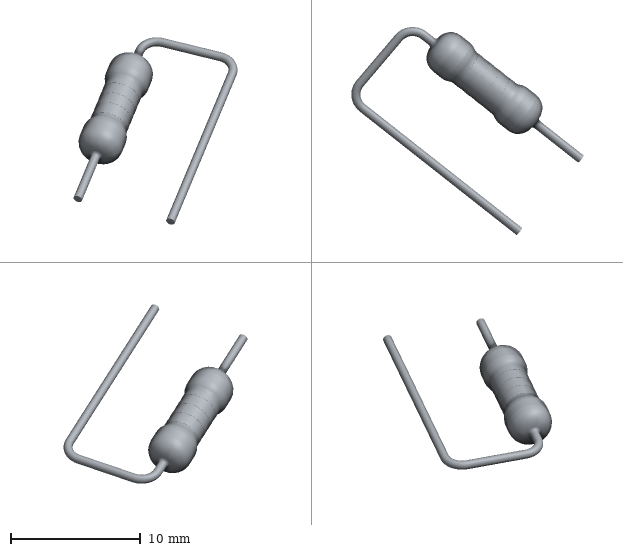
import cadquery as cq
import math

wire_radius = 0.35
lead_spacing = 7.5
bend_radius = 1.39
lead_end_y = -9.6
total_length = 17.35
bridge_y = lead_end_y + total_length - wire_radius

body_half_length = 5.0
cap_radius = 1.75
cap_edge_radius = 1.25
neck_fillet = 0.3
shoulder_outer_y = 2.83

waist_radius = 1.483
band_radius = 1.5
band_width = 0.52
band_count = 4
band_pitch = 2 * band_width
waist_half_length = (2 * band_count - 1) * band_width / 2


def make_wire():
    arc_offset = bend_radius * (1 - math.sqrt(0.5))
    path = (
        cq.Workplane("XY")
        .moveTo(0, lead_end_y)
        .lineTo(0, bridge_y - bend_radius)
        .threePointArc((arc_offset, bridge_y - arc_offset), (bend_radius, bridge_y))
        .lineTo(lead_spacing - bend_radius, bridge_y)
        .threePointArc(
            (lead_spacing - arc_offset, bridge_y - arc_offset),
            (lead_spacing, bridge_y - bend_radius),
        )
        .lineTo(lead_spacing, lead_end_y)
    )
    section = cq.Workplane("XZ", origin=(0, lead_end_y, 0)).circle(wire_radius)
    return section.sweep(path)


def make_end_cap():
    """Revolve the +Y end of the body: shoulder, rounded cap and neck."""
    shoulder_middle = (
        (waist_radius + cap_radius) / 2,
        (waist_half_length + shoulder_outer_y) / 2,
    )

    chord_x = (cap_radius - waist_radius) / 2
    chord_y = (shoulder_outer_y - waist_half_length) / 2
    end_slope = 2 * math.atan2(chord_x, chord_y)
    flare_radius = chord_y / math.sin(end_slope)
    flare_point = (
        waist_radius + flare_radius * (1 - math.cos(end_slope / 2)),
        waist_half_length + flare_radius * math.sin(end_slope / 2),
    )

    cap_center_x = cap_radius - cap_edge_radius
    cap_center_y = body_half_length - cap_edge_radius
    neck_center_x = wire_radius + neck_fillet
    center_distance = cap_edge_radius + neck_fillet
    neck_angle = math.acos((neck_center_x - cap_center_x) / center_distance)
    neck_center_y = cap_center_y + center_distance * math.sin(neck_angle)

    def cap_point(angle):
        return (
            cap_center_x + cap_edge_radius * math.cos(angle),
            cap_center_y + cap_edge_radius * math.sin(angle),
        )

    neck_middle_angle = math.pi + neck_angle / 2
    neck_middle = (
        neck_center_x + neck_fillet * math.cos(neck_middle_angle),
        neck_center_y + neck_fillet * math.sin(neck_middle_angle),
    )
    return (
        cq.Workplane("XY")
        .moveTo(0, waist_half_length)
        .lineTo(waist_radius, waist_half_length)
        .threePointArc(flare_point, shoulder_middle)
        .tangentArcPoint((cap_radius, shoulder_outer_y), relative=False)
        .lineTo(cap_radius, cap_center_y)
        .threePointArc(cap_point(neck_angle / 2), cap_point(neck_angle))
        .threePointArc(neck_middle, (wire_radius, neck_center_y))
        .lineTo(0, neck_center_y)
        .close()
        .revolve(360, (0, 0, 0), (0, 1, 0))
    )


def make_waist_disc(radius, width, center_y):
    return (
        cq.Workplane("XZ", origin=(0, center_y + width / 2, 0))
        .circle(radius)
        .extrude(width)
    )


end_cap = make_end_cap()
result = make_waist_disc(waist_radius, 2 * waist_half_length, 0)
for index in range(band_count):
    band_y = (index - (band_count - 1) / 2) * band_pitch
    result = result.union(make_waist_disc(band_radius, band_width, band_y))
result = result.union(end_cap).union(end_cap.mirror("XZ"))
result = result.union(make_wire())